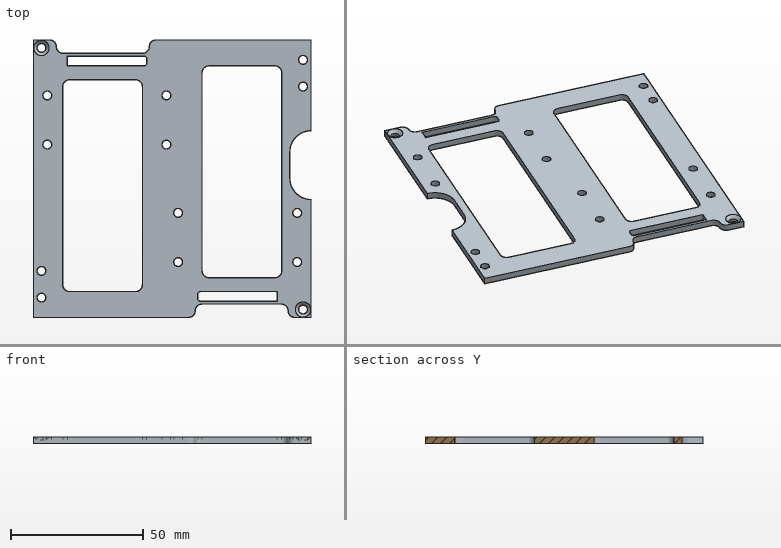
import cadquery as cq

SIDE = 105.0
THICKNESS = 2.5
HALF = SIDE / 2

WINDOW_WIDTH = 30.0
WINDOW_LENGTH = 80.0
WINDOW_X = 26.4
WINDOW_Y = 2.6
WINDOW_RADIUS = 2.5

SLOT_LENGTH = 30.0
SLOT_WIDTH = 3.6
SLOT_X = 24.7
SLOT_Y = -44.5
SLOT_RADIUS = 0.9

NOTCH_LEFT = 8.7
NOTCH_RIGHT = 43.8
NOTCH_RADIUS = 2.5

CUTOUT_DEPTH = 8.0
CUTOUT_LENGTH = 25.9
CUTOUT_Y = 5.1

HOLE_DIAMETER = 3.3
SINK_DIAMETER = 5.8
SINK_ANGLE = 90
EDGE_HOLE_X = 49.5
EDGE_HOLE_YS = (34.9, 44.9)
MOUNT_X_NEAR = 2.2
MOUNT_X_FAR = 47.2
MOUNT_Y_NEAR = -12.9
MOUNT_Y_FAR = -31.5


def window():
    return (
        cq.Workplane("XY")
        .center(WINDOW_X, WINDOW_Y)
        .rect(WINDOW_WIDTH, WINDOW_LENGTH)
        .extrude(THICKNESS)
        .edges("|Z")
        .fillet(WINDOW_RADIUS)
    )


def slot():
    """Slot with rounded corners only at the end nearer the plate's centre."""
    return (
        cq.Workplane("XY")
        .center(SLOT_X, SLOT_Y)
        .rect(SLOT_LENGTH, SLOT_WIDTH)
        .extrude(THICKNESS)
        .edges("|Z and <X")
        .fillet(SLOT_RADIUS)
    )


def edge_notch():
    """Notch in the -Y edge; each end wall is a convex then a concave quarter arc."""
    r = NOTCH_RADIUS
    middle = -HALF + r
    floor = middle + r
    return (
        cq.Workplane("XY")
        .moveTo(NOTCH_LEFT - r, -HALF)
        .radiusArc((NOTCH_LEFT, middle), -r)
        .radiusArc((NOTCH_LEFT + r, floor), r)
        .lineTo(NOTCH_RIGHT - r, floor)
        .radiusArc((NOTCH_RIGHT, middle), r)
        .radiusArc((NOTCH_RIGHT + r, -HALF), -r)
        .close()
        .extrude(THICKNESS)
    )


def side_cutout():
    """Half of a rounded slot whose corner arcs end at the plate's edge."""
    return (
        cq.Workplane("XY")
        .center(HALF, CUTOUT_Y)
        .slot2D(CUTOUT_LENGTH, 2 * CUTOUT_DEPTH, 90)
        .extrude(THICKNESS)
    )


def half_turn(points):
    return points + [(-x, -y) for x, y in points]


result = cq.Workplane("XY").rect(SIDE, SIDE).extrude(THICKNESS)

for cutter in (window(), slot(), edge_notch()):
    result = result.cut(cutter)
    result = result.cut(cutter.rotate((0, 0, 0), (0, 0, 1), 180))

result = result.cut(side_cutout())

edge_holes = [(EDGE_HOLE_X, y) for y in EDGE_HOLE_YS]
mount_holes = [(x, y) for x in (MOUNT_X_NEAR, MOUNT_X_FAR) for y in (MOUNT_Y_NEAR, MOUNT_Y_FAR)]
corner_holes = [(EDGE_HOLE_X, -EDGE_HOLE_X)]

top_plane = cq.Workplane("XY", origin=(0, 0, THICKNESS))
result = (
    result.copyWorkplane(top_plane)
    .pushPoints(half_turn(edge_holes + mount_holes))
    .hole(HOLE_DIAMETER)
)
result = (
    result.copyWorkplane(top_plane)
    .pushPoints(half_turn(corner_holes))
    .cskHole(HOLE_DIAMETER, SINK_DIAMETER, SINK_ANGLE)
)